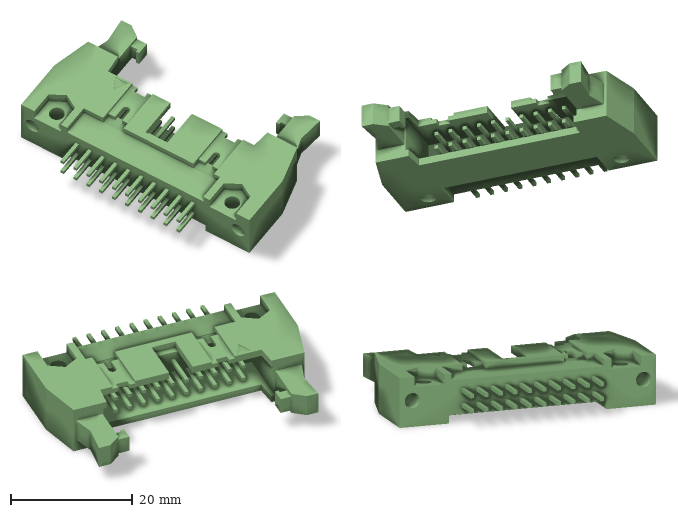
import cadquery as cq
import math

BODY_WIDTH = 45.0
BODY_HEIGHT = 8.5
HALF_WIDTH = BODY_WIDTH / 2
MID_HEIGHT = BODY_HEIGHT / 2
SHOULDER_Y = 10.0
RIM_Y = 13.8
BOTTOM_RIM_Y = 13.7
TOWER_Y = 17.3
TOWER_OUTER_X = 20.6
TOWER_INNER_X = 14.7
TOWER_FOOT_X = 14.4

WALL = 1.25
CAVITY_FLOOR_Y = 7.35
CAVITY_HALF_WIDTH = 15.3
CAVITY_TOP = BODY_HEIGHT - WALL

TOP_RECESS_HALF_WIDTH = 13.4
TOP_RECESS_LENGTH = 5.05
TOP_RECESS_DEPTH = 1.15
BOTTOM_RECESS_HALF_WIDTH = 13.8
BOTTOM_RECESS_DEPTH = 1.45

GROOVE_CENTERS = (-7.6, 10.15)
GROOVE_WIDTH = 4.05
GROOVE_DEPTH = 0.45
GROOVE_STEP_Y = 6.6
SLOT_WIDTH = 1.35
SLOT_END_Y = 9.5
RIM_NOTCH_WIDTH = 2.02
RIM_NOTCH_DEPTH = 1.0
KEY_WIDTH = 4.25
KEY_FLOOR_Y = 6.3

MARK_X = -11.48
MARK_WIDTH = 2.5
MARK_BASE_Y = 13.4
MARK_TIP_Y = 10.95
MARK_DEPTH = 0.15

HOLE_DIAMETER = 2.6
MOUNT_X = 17.3
MOUNT_Y = 2.8
NUT_FLATS = 5.2
NUT_DEPTH = 1.75
END_HOLE_X = 20.3
END_HOLE_Z = 4.45
END_HOLE_DEPTH = 4.5

PINS_PER_ROW = 10
PITCH = 2.54
PIN_SIZE = 0.65
PIN_TAIL_Y = -4.55
PIN_TIP_Y = 13.4

LATCH_THICKNESS = 3.9
LATCH_TOP_Y = 25.7
LATCH_INNER_X = 15.45
LATCH_ROOT_X = 20.15
LATCH_WAIST_X = 19.1
LATCH_WAIST_Y = 20.85
LATCH_CORNER_X = 19.58
LATCH_TOP_X = 17.55
HOOK_TOP_Y = 24.1
HOOK_TIP_X = 13.5
HOOK_THICKNESS = 2.85
HOOK_LENGTH = 1.85
LIP_WIDTH = 0.65
LIP_LENGTH = 0.5


def block(x0, x1, y0, y1, z0, z1):
    """Box between two opposite corners."""
    return cq.Workplane("XY").box(x1 - x0, y1 - y0, z1 - z0, centered=False).translate((x0, y0, z0))


def plate(points, z0, z1):
    """Closed polygon in X and Y, raised from z0 to z1."""
    return cq.Workplane("XY").workplane(offset=z0).polyline(points).close().extrude(z1 - z0)


def both_sides(shape):
    """The shape together with its mirror image across x = 0."""
    return shape.union(shape.mirror("YZ"))


def make_shell():
    half_outline = [
        (HALF_WIDTH, 0),
        (HALF_WIDTH, SHOULDER_Y),
        (TOWER_OUTER_X, TOWER_Y),
        (TOWER_INNER_X, TOWER_Y),
        (TOWER_FOOT_X, RIM_Y),
    ]
    mirrored = [(-x, y) for x, y in reversed(half_outline)]
    shell = plate(half_outline + mirrored, 0, BODY_HEIGHT)
    cavity = block(-CAVITY_HALF_WIDTH, CAVITY_HALF_WIDTH, CAVITY_FLOOR_Y, TOWER_Y, WALL, CAVITY_TOP)
    bottom_trim = block(-TOWER_FOOT_X, TOWER_FOOT_X, BOTTOM_RIM_Y, RIM_Y, 0, WALL)
    return shell.cut(cavity).cut(bottom_trim)


def mounting_face_recesses():
    top = block(
        -TOP_RECESS_HALF_WIDTH, TOP_RECESS_HALF_WIDTH,
        0, TOP_RECESS_LENGTH,
        BODY_HEIGHT - TOP_RECESS_DEPTH, BODY_HEIGHT,
    )
    bottom = block(
        -BOTTOM_RECESS_HALF_WIDTH, BOTTOM_RECESS_HALF_WIDTH,
        0, TOP_RECESS_LENGTH,
        0, BOTTOM_RECESS_DEPTH,
    )
    return top.union(bottom)


def groove(center):
    """Shallow groove with a deep foot, a round-ended slot and a notch in the rim."""
    half = GROOVE_WIDTH / 2
    radius = SLOT_WIDTH / 2
    arc_y = SLOT_END_Y - radius
    shallow = block(
        center - half, center + half, TOP_RECESS_LENGTH, RIM_Y, BODY_HEIGHT - GROOVE_DEPTH, BODY_HEIGHT
    )
    foot = block(center - half, center + half, TOP_RECESS_LENGTH, GROOVE_STEP_Y, CAVITY_TOP, BODY_HEIGHT)
    slot = (
        cq.Workplane("XY")
        .workplane(offset=CAVITY_TOP)
        .moveTo(center - radius, TOP_RECESS_LENGTH)
        .lineTo(center - radius, arc_y)
        .threePointArc((center, SLOT_END_Y), (center + radius, arc_y))
        .lineTo(center + radius, TOP_RECESS_LENGTH)
        .close()
        .extrude(WALL)
    )
    rim_notch = block(
        center - RIM_NOTCH_WIDTH / 2, center + RIM_NOTCH_WIDTH / 2,
        RIM_Y - RIM_NOTCH_DEPTH, RIM_Y,
        CAVITY_TOP, BODY_HEIGHT,
    )
    return shallow.union(foot).union(slot).union(rim_notch)


def key_notch():
    return block(-KEY_WIDTH / 2, KEY_WIDTH / 2, KEY_FLOOR_Y, RIM_Y, CAVITY_TOP, BODY_HEIGHT)


def pin_one_mark():
    corners = [
        (MARK_X - MARK_WIDTH / 2, MARK_BASE_Y),
        (MARK_X + MARK_WIDTH / 2, MARK_BASE_Y),
        (MARK_X, MARK_TIP_Y),
    ]
    return plate(corners, BODY_HEIGHT - MARK_DEPTH, BODY_HEIGHT)


def mounting_cuts():
    """Through hole with a nut pocket open to the mounting face, and the blind end hole."""
    half = NUT_FLATS / 2
    corner_radius = half / math.cos(math.pi / 6)
    pocket_outline = [
        (MOUNT_X - half, 0),
        (MOUNT_X + half, 0),
        (MOUNT_X + half, MOUNT_Y + corner_radius / 2),
        (MOUNT_X, MOUNT_Y + corner_radius),
        (MOUNT_X - half, MOUNT_Y + corner_radius / 2),
    ]
    pocket = plate(pocket_outline, BODY_HEIGHT - NUT_DEPTH, BODY_HEIGHT)
    hole = cq.Workplane("XY").center(MOUNT_X, MOUNT_Y).circle(HOLE_DIAMETER / 2).extrude(BODY_HEIGHT)
    end_hole = (
        cq.Workplane("XZ")
        .center(END_HOLE_X, END_HOLE_Z)
        .circle(HOLE_DIAMETER / 2)
        .extrude(-END_HOLE_DEPTH)
    )
    return both_sides(pocket.union(hole).union(end_hole))


def make_pins():
    return (
        cq.Workplane("XZ", origin=(0, PIN_TAIL_Y, MID_HEIGHT))
        .rarray(PITCH, PITCH, PINS_PER_ROW, 2)
        .rect(PIN_SIZE, PIN_SIZE)
        .extrude(PIN_TAIL_Y - PIN_TIP_Y)
    )


def make_latches():
    root_y = SHOULDER_Y
    arm_outline = [
        (LATCH_INNER_X, root_y),
        (LATCH_ROOT_X, root_y),
        (LATCH_ROOT_X, TOWER_Y),
        (LATCH_WAIST_X, LATCH_WAIST_Y),
        (LATCH_CORNER_X, LATCH_TOP_Y),
        (LATCH_TOP_X, LATCH_TOP_Y),
        (LATCH_INNER_X, HOOK_TOP_Y),
    ]
    hook_foot_y = HOOK_TOP_Y - HOOK_LENGTH
    hook_outline = [
        (LATCH_INNER_X, HOOK_TOP_Y),
        (HOOK_TIP_X, HOOK_TOP_Y),
        (HOOK_TIP_X, hook_foot_y - LIP_LENGTH),
        (HOOK_TIP_X + LIP_WIDTH, hook_foot_y - LIP_LENGTH),
        (HOOK_TIP_X + LIP_WIDTH, hook_foot_y),
        (LATCH_INNER_X, hook_foot_y),
    ]
    arm = plate(arm_outline, MID_HEIGHT - LATCH_THICKNESS / 2, MID_HEIGHT + LATCH_THICKNESS / 2)
    hook = plate(hook_outline, MID_HEIGHT - HOOK_THICKNESS / 2, MID_HEIGHT + HOOK_THICKNESS / 2)
    return both_sides(arm.union(hook))


body = make_shell().cut(mounting_face_recesses()).cut(key_notch()).cut(pin_one_mark())
for groove_center in GROOVE_CENTERS:
    body = body.cut(groove(groove_center))

result = body.union(make_latches()).cut(mounting_cuts()).union(make_pins())